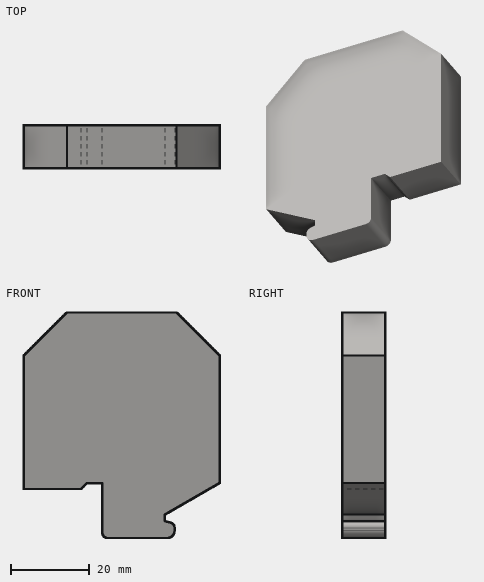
import cadquery as cq
import math

width = 50.0
thickness = 11.0
height = 57.5
top_chamfer = 11.0

left_underside_z = 12.5
recess_z = 14.0
recess_depth = recess_z - left_underside_z
recess_ramp_end_x = 16.1

foot_left_x = 20.0
foot_corner_radius = 1.5

notch_x = 36.0
notch_top_z = 6.0
notch_bottom_z = 4.4
toe_tip_x = 38.5
toe_bottom_radius = 2.0
toe_top_radius = 1.5
toe_slope = math.radians(15)
toe_corner_z = notch_bottom_z - (toe_tip_x - notch_x) * math.tan(toe_slope)

underside_slope = math.radians(30)
right_corner_z = notch_top_z + (width - notch_x) * math.tan(underside_slope)


def side_profile():
    """Side profile in X-Z with the toe and foot corners left sharp."""
    return (
        cq.Workplane("XZ")
        .moveTo(0, left_underside_z)
        .lineTo(recess_ramp_end_x - recess_depth, left_underside_z)
        .lineTo(recess_ramp_end_x, recess_z)
        .lineTo(foot_left_x, recess_z)
        .lineTo(foot_left_x, 0)
        .lineTo(toe_tip_x, 0)
        .lineTo(toe_tip_x, toe_corner_z)
        .lineTo(notch_x, notch_bottom_z)
        .lineTo(notch_x, notch_top_z)
        .lineTo(width, right_corner_z)
        .lineTo(width, height - top_chamfer)
        .lineTo(width - top_chamfer, height)
        .lineTo(top_chamfer, height)
        .lineTo(0, height - top_chamfer)
        .close()
    )


def round_edge(body, x, z, radius):
    """Round the thickness-wide edge nearest to the given X-Z corner."""
    edge = cq.selectors.NearestToPointSelector((x, -thickness / 2, z))
    return body.edges("|Y").edges(edge).fillet(radius)


result = side_profile().extrude(thickness)
result = round_edge(result, foot_left_x, 0, foot_corner_radius)
result = round_edge(result, toe_tip_x, 0, toe_bottom_radius)
result = round_edge(result, toe_tip_x, toe_corner_z, toe_top_radius)